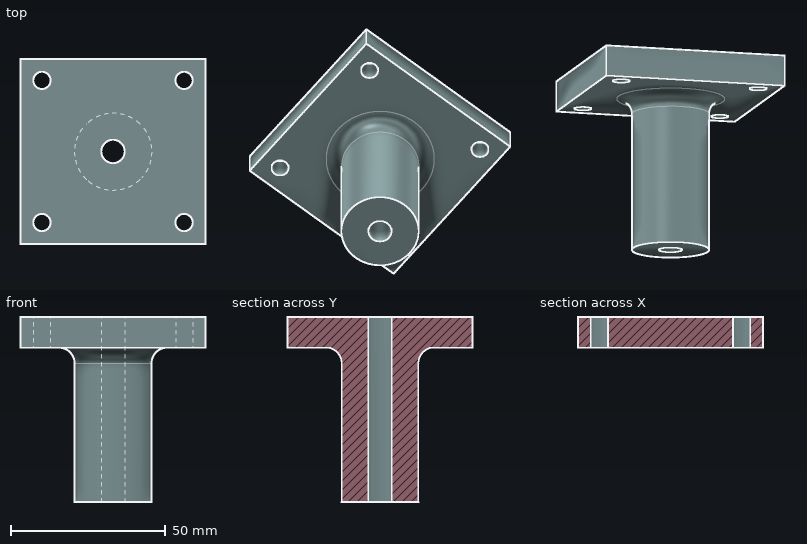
import cadquery as cq

plate_side = 60.0
total_height = 60.0
plate_thickness = 10.0
stem_diameter = 25.0
fillet_radius = 5.0
bore_diameter = 7.5
mount_hole_diameter = 5.5
mount_hole_spacing = 46.0

stem_length = total_height - plate_thickness


def make_stem():
    """Round stem standing on Z = 0, flaring tangentially into the plate."""
    stem_radius = stem_diameter / 2
    flare_radius = stem_radius + fillet_radius
    return (
        cq.Workplane("XZ")
        .lineTo(stem_radius, 0)
        .lineTo(stem_radius, stem_length - fillet_radius)
        .radiusArc((flare_radius, stem_length), fillet_radius)
        .lineTo(0, stem_length)
        .close()
        .revolve(360, (0, 0, 0), (0, 1, 0))
    )


def make_plate():
    """Square plate on top of the stem."""
    return (
        cq.Workplane("XY")
        .workplane(offset=stem_length)
        .rect(plate_side, plate_side)
        .extrude(plate_thickness)
    )


body = make_plate().union(make_stem())

body = body.faces(">Z").workplane(origin=(0, 0, total_height)).hole(bore_diameter)

result = (
    body.faces(">Z")
    .workplane(origin=(0, 0, total_height))
    .rect(mount_hole_spacing, mount_hole_spacing, forConstruction=True)
    .vertices()
    .hole(mount_hole_diameter)
)